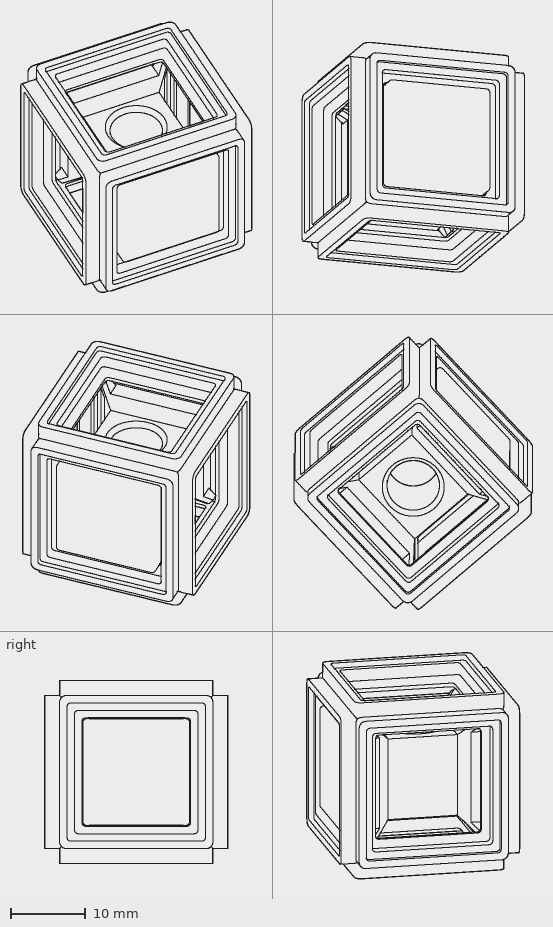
import cadquery as cq
overall_size = 24.5
step_width = 0.997
window_width = 14.5
opening_width = window_width + 2 * step_width
recess_width = opening_width + 2 * step_width
prism_width = recess_width + 2 * step_width
prism_edge_radius = 0.9
window_corner_radius = 0.5
recess_depth = 0.74
opening_depth = 1.67
chamfer_depth = 0.83
cavity_width = 17.0

bar_half_width = 5.6
bar_half_length = 4.75
flange_half_width = 8.33
flange_end = 8.33
flange_corner_chamfer = 1.22
button_half_width = 7.13
button_end = 11.25
button_edge_radius = 0.5
hole_radius = 3.5
countersink_depth = 0.64

flare_offset = bar_half_width - bar_half_length
flare_end = flange_half_width - flare_offset
slot_floor_half_width = button_half_width - flare_offset

face_distance = overall_size / 2
shoulder_distance = face_distance - recess_depth
chamfer_distance = shoulder_distance - opening_depth

OUTWARD_DIRECTIONS = [(1, 0, 0), (-1, 0, 0), (0, 1, 0), (0, -1, 0), (0, 0, 1), (0, 0, -1)]


def outward_plane(direction, distance):
    """Plane that faces outwards along an axis, at a distance from the centre."""
    origin = tuple(distance * part for part in direction)
    side = (0, 1, 0) if direction[0] else (1, 0, 0)
    return cq.Plane(origin=origin, xDir=side, normal=direction)


def window_outline(width):
    """Square with the rounded corners that all window steps share."""
    return cq.Sketch().rect(width, width).vertices().fillet(window_corner_radius)


def make_prism(axis):
    """One square prism of the frame, long along the given axis, with rounded long edges."""
    size = {name: prism_width for name in "XYZ"}
    size[axis] = overall_size
    prism = cq.Workplane().box(size["X"], size["Y"], size["Z"])
    return prism.edges("|" + axis).fillet(prism_edge_radius)


def make_window(direction):
    """Space of one window: shallow recess, deeper opening, tapered step and inner hole."""
    recess = (
        cq.Workplane(outward_plane(direction, face_distance))
        .placeSketch(window_outline(recess_width))
        .extrude(-recess_depth)
    )
    opening = (
        cq.Workplane(outward_plane(direction, shoulder_distance))
        .placeSketch(window_outline(opening_width))
        .extrude(-opening_depth)
    )
    inner_end = cq.Location(cq.Vector(0, 0, -chamfer_depth))
    taper = (
        cq.Workplane(outward_plane(direction, chamfer_distance))
        .placeSketch(window_outline(opening_width), window_outline(window_width).moved(inner_end))
        .loft()
    )
    hole = (
        cq.Workplane(outward_plane(direction, 0))
        .placeSketch(window_outline(window_width))
        .extrude(chamfer_distance)
    )
    return recess.union(opening).union(taper).union(hole)


def make_frame():
    """Hollow cube frame with six identical windows."""
    frame = make_prism("X").union(make_prism("Y")).union(make_prism("Z"))
    frame = frame.cut(cq.Workplane().box(cavity_width, cavity_width, cavity_width))
    for direction in OUTWARD_DIRECTIONS:
        frame = frame.cut(make_window(direction))
    return frame


def make_flange(direction):
    """Flange that flares out from the bar, with its four outer corners cut off."""
    bar_width = 2 * bar_half_width
    flange_width = 2 * flange_half_width
    flare = (
        cq.Workplane(outward_plane(direction, bar_half_length))
        .rect(bar_width, bar_width)
        .workplane(offset=flare_end - bar_half_length)
        .rect(flange_width, flange_width)
        .loft(ruled=True)
    )
    rim = (
        cq.Workplane(outward_plane(direction, flare_end))
        .rect(flange_width, flange_width)
        .extrude(flange_end - flare_end)
    )
    envelope = (
        cq.Workplane()
        .box(overall_size, flange_width, flange_width)
        .edges("|X")
        .chamfer(flange_corner_chamfer)
    )
    return flare.union(rim).intersect(envelope)


def make_slot():
    """Space of the slot along X on the +Y side of the flanges: flat floor and 45 degree walls."""
    rise = flange_half_width - button_half_width
    return (
        cq.Workplane("YZ", origin=(-face_distance, 0, 0))
        .moveTo(button_half_width, -slot_floor_half_width)
        .lineTo(button_half_width, slot_floor_half_width)
        .lineTo(flange_half_width, slot_floor_half_width + rise)
        .lineTo(flange_half_width, -slot_floor_half_width - rise)
        .close()
        .extrude(overall_size)
    )


def make_button(direction):
    """Square button that reaches out into a window, rounded on its outer edges."""
    button_width = 2 * button_half_width
    button = (
        cq.Workplane(outward_plane(direction, slot_floor_half_width))
        .rect(button_width, button_width)
        .extrude(button_end - slot_floor_half_width)
    )
    outer_face = ">X" if direction[0] > 0 else "<X"
    return button.edges("|X or " + outer_face).fillet(button_edge_radius)


def make_cross_hole():
    """Space of the vertical hole through the bar, countersunk at both ends."""
    countersink_radius = hole_radius + countersink_depth
    straight_end = bar_half_width - countersink_depth
    return (
        cq.Workplane("YZ")
        .moveTo(0, -bar_half_width)
        .lineTo(countersink_radius, -bar_half_width)
        .lineTo(hole_radius, -straight_end)
        .lineTo(hole_radius, straight_end)
        .lineTo(countersink_radius, bar_half_width)
        .lineTo(0, bar_half_width)
        .close()
        .revolve(360, (0, 0, 0), (0, 1, 0))
    )


def make_slider():
    """Bar with a slotted flange and a button at each end, and a hole through its middle."""
    slider = cq.Workplane().box(2 * bar_half_length, 2 * bar_half_width, 2 * bar_half_width)
    ends = [(1, 0, 0), (-1, 0, 0)]
    for direction in ends:
        slider = slider.union(make_flange(direction))
    for quarter_turn in range(4):
        slider = slider.cut(make_slot().rotate((0, 0, 0), (1, 0, 0), 90 * quarter_turn))
    for direction in ends:
        slider = slider.union(make_button(direction))
    return slider.cut(make_cross_hole())


frame = make_frame()
slider = make_slider()

result = cq.Compound.makeCompound([frame.val(), slider.val()])